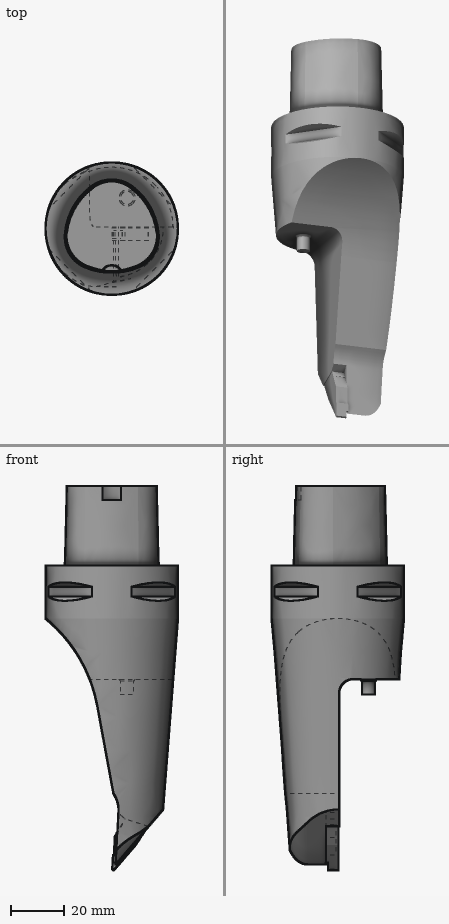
import cadquery as cq
import math

TOTAL_HEIGHT = 145.0
SHANK_HEIGHT = 30.0
COLLAR_HEIGHT = 20.0
COLLAR_TOP = TOTAL_HEIGHT - SHANK_HEIGHT
COLLAR_BOTTOM = COLLAR_TOP - COLLAR_HEIGHT
COLLAR_RADIUS = 50.0 / 2

LOBE_REACH = 18.5
FLANK_REACH = 16.7
LOBE_RADIUS = 12.6
SHANK_TAPER_INSET = 0.7

NOTCH_RADIUS = 4.0
NOTCH_CENTER_Y = -17.8
NOTCH_DEPTH = 5.4

GROOVE_COUNT = 4
GROOVE_FIRST_ANGLE = 45.0
GROOVE_FLOOR_DISTANCE = 22.2
GROOVE_FLOOR_HEIGHT = 3.6
GROOVE_MOUTH_HEIGHT = 7.0
GROOVE_CENTER_Z = 105.1

NECK_SLOPE = 0.078
RELIEF_ARC_BOTTOM = (-5.5, 62.0)
HEEL_TOP = (0.6, 29.0)
HEEL_MIDDLE = (2.2, 25.5)
HEEL_BOTTOM = (2.5, 21.8)
BLADE_LEAN = 0.05

BLADE_FACE_Y = 0.6
STEP_Z = 72.0
STEP_FILLET = 5.2

UNDERSIDE_POINT = (1.5, 2.2)
UNDERSIDE_ANGLE = 49.2
UNDERSIDE_LOW_Y = -19.7
UNDERSIDE_FILLET = 8.3

NOZZLE_DIAMETER = 5.0
NOZZLE_FLANGE_DIAMETER = 6.1
NOZZLE_LENGTH = 5.8
NOZZLE_FLANGE_HEIGHT = 0.7
NOZZLE_X = 5.8
NOZZLE_Y = 11.6

POCKET_FLOOR_Y = -4.5
INSERT_FACE_Y = 0.3
INSERT_TOP = (5.0, 19.5)
INSERT_HEEL = (13.6, 16.7)
INSERT_KNEE = (9.0, 9.5)
INSERT_TIP = (0.7, 0.0)
INSERT_SHOULDER = (1.0, 12.5)
NOSE_HEIGHT = 5.8
NOSE_BOTTOM_X = 0.1
NOSE_TOP_X = 0.5
NOSE_EDGE_Z = 0.5
FLANK_X = 0.9
NOSE_UNDERCUT_Y = -3.8
NOSE_UNDERCUT_TOP = 2.9
RECESS_DEPTH = 0.3
RECESS_TOP = 17.4
RECESS_EDGE_Y = -0.7

MARGIN = 58.0


def lerp_x(start, end, height):
    """X on the straight line from start to end, both (X, Z), at a height."""
    share = (height - start[1]) / (end[1] - start[1])
    return start[0] + share * (end[0] - start[0])


def prism(points, y_low, y_high):
    """Solid with an (X, Z) polygon, filling Y from y_low to y_high."""
    plane = cq.Workplane("XZ", origin=(0, y_high, 0))
    return plane.polyline(points).close().extrude(y_high - y_low)


def polar(radius, degrees):
    angle = math.radians(degrees)
    return cq.Vector(radius * math.cos(angle), radius * math.sin(angle))


def lobed_wire(inset, z):
    """Outline of tangent lobe and flank arcs, moved inwards by inset."""
    lobe_offset = LOBE_REACH - LOBE_RADIUS
    flank_gap = FLANK_REACH - LOBE_RADIUS
    flank_offset = (lobe_offset**2 - flank_gap**2) / (2 * flank_gap - lobe_offset)
    flank_radius = FLANK_REACH + flank_offset
    lift = cq.Vector(0, 0, z)
    edges = []
    for flank in (-90, 30, 150):
        flank_center = polar(flank_offset, flank + 180)
        joints = []
        for lobe in (flank - 60, flank + 60):
            direction = (polar(lobe_offset, lobe) - flank_center).normalized()
            joints.append(flank_center + direction * (flank_radius - inset) + lift)
        middle = polar(FLANK_REACH - inset, flank) + lift
        edges.append(cq.Edge.makeThreePointArc(joints[0], middle, joints[1]))
        crest = polar(LOBE_REACH - inset, flank + 60) + lift
        next_joint = joints[0].sub(lift)
        spin = math.radians(120)
        turned = cq.Vector(
            next_joint.x * math.cos(spin) - next_joint.y * math.sin(spin),
            next_joint.x * math.sin(spin) + next_joint.y * math.cos(spin),
        )
        edges.append(cq.Edge.makeThreePointArc(joints[1], crest, turned + lift))
    return cq.Wire.assembleEdges(edges)


def make_shank():
    base = lobed_wire(0, COLLAR_TOP)
    top = lobed_wire(SHANK_TAPER_INSET, TOTAL_HEIGHT)
    shank = cq.Workplane(obj=cq.Solid.makeLoft([base, top], True))
    notch = (
        cq.Workplane(origin=(0, NOTCH_CENTER_Y, TOTAL_HEIGHT - NOTCH_DEPTH))
        .circle(NOTCH_RADIUS)
        .extrude(NOTCH_DEPTH)
    )
    return shank.cut(notch)


def make_collar():
    collar = cq.Workplane(origin=(0, 0, COLLAR_BOTTOM)).circle(COLLAR_RADIUS).extrude(COLLAR_HEIGHT)
    floor_half = GROOVE_FLOOR_HEIGHT / 2
    mouth_half = GROOVE_MOUTH_HEIGHT / 2
    profile = [
        (GROOVE_FLOOR_DISTANCE, GROOVE_CENTER_Z - floor_half),
        (COLLAR_RADIUS, GROOVE_CENTER_Z - mouth_half),
        (COLLAR_RADIUS, GROOVE_CENTER_Z + mouth_half),
        (GROOVE_FLOOR_DISTANCE, GROOVE_CENTER_Z + floor_half),
    ]
    groove = prism(profile, -COLLAR_RADIUS, COLLAR_RADIUS)
    for index in range(GROOVE_COUNT):
        angle = GROOVE_FIRST_ANGLE + index * 360 / GROOVE_COUNT
        collar = collar.cut(groove.rotate((0, 0, 0), (0, 0, 1), angle))
    return collar


def make_underside_cutter():
    """Everything below the sloping underside and its rounded -Y edge."""
    angle = math.radians(UNDERSIDE_ANGLE)
    plane = cq.Plane(
        origin=(UNDERSIDE_POINT[0], UNDERSIDE_LOW_Y, UNDERSIDE_POINT[1]),
        xDir=(0, 1, 0),
        normal=(math.cos(angle), 0, math.sin(angle)),
    )
    return (
        cq.Workplane(plane)
        .moveTo(-MARGIN, UNDERSIDE_FILLET)
        .lineTo(0, UNDERSIDE_FILLET)
        .radiusArc((UNDERSIDE_FILLET, 0), -UNDERSIDE_FILLET)
        .lineTo(MARGIN, 0)
        .lineTo(MARGIN, -MARGIN)
        .lineTo(-MARGIN, -MARGIN)
        .close()
        .extrude(MARGIN, both=True)
    )


def make_neck():
    end_radius = COLLAR_RADIUS - NECK_SLOPE * COLLAR_BOTTOM
    cone = cq.Workplane(obj=cq.Solid.makeCone(end_radius, COLLAR_RADIUS, COLLAR_BOTTOM))
    blade_foot = (HEEL_BOTTOM[0] - BLADE_LEAN * HEEL_BOTTOM[1], 0)
    outline = (
        cq.Workplane("XZ", origin=(0, MARGIN, 0))
        .moveTo(*blade_foot)
        .lineTo(*HEEL_BOTTOM)
        .threePointArc(HEEL_MIDDLE, HEEL_TOP)
        .lineTo(*RELIEF_ARC_BOTTOM)
        .tangentArcPoint((-COLLAR_RADIUS, COLLAR_BOTTOM), relative=False)
        .lineTo(MARGIN, COLLAR_BOTTOM)
        .lineTo(MARGIN, 0)
        .close()
        .extrude(2 * MARGIN)
    )
    side_cut = (
        cq.Workplane("YZ", origin=(-MARGIN, 0, 0))
        .moveTo(BLADE_FACE_Y, 0)
        .lineTo(BLADE_FACE_Y, STEP_Z - STEP_FILLET)
        .radiusArc((BLADE_FACE_Y + STEP_FILLET, STEP_Z), STEP_FILLET)
        .lineTo(MARGIN, STEP_Z)
        .lineTo(MARGIN, 0)
        .close()
        .extrude(2 * MARGIN)
    )
    return cone.intersect(outline).cut(side_cut)


def make_nozzle():
    flange = (
        cq.Workplane(origin=(NOZZLE_X, NOZZLE_Y, STEP_Z - NOZZLE_FLANGE_HEIGHT))
        .circle(NOZZLE_DIAMETER / 2)
        .workplane(offset=NOZZLE_FLANGE_HEIGHT)
        .circle(NOZZLE_FLANGE_DIAMETER / 2)
        .loft()
    )
    tube = (
        cq.Workplane(origin=(NOZZLE_X, NOZZLE_Y, STEP_Z - NOZZLE_LENGTH))
        .circle(NOZZLE_DIAMETER / 2)
        .extrude(NOZZLE_LENGTH)
    )
    return tube.union(flange)


def make_pocket():
    """Open space for the insert, with a ceiling sloping in from the heel."""
    profile = [
        (-MARGIN, HEEL_BOTTOM[1]),
        HEEL_BOTTOM,
        INSERT_TOP,
        INSERT_HEEL,
        (MARGIN, 0),
        (-MARGIN, 0),
    ]
    return prism(profile, POCKET_FLOOR_Y, BLADE_FACE_Y)


def make_holder():
    neck = make_neck().cut(make_underside_cutter())
    neck = neck.cut(make_pocket())
    return make_shank().union(make_collar()).union(neck).union(make_nozzle())


def make_insert():
    profile = [
        INSERT_TIP,
        INSERT_KNEE,
        INSERT_HEEL,
        INSERT_TOP,
        INSERT_SHOULDER,
        (FLANK_X, NOSE_HEIGHT),
        (NOSE_TOP_X, NOSE_HEIGHT),
        (NOSE_BOTTOM_X, NOSE_EDGE_Z),
    ]
    insert = prism(profile, POCKET_FLOOR_Y, INSERT_FACE_Y)
    undercut_x = lerp_x(INSERT_TIP, INSERT_KNEE, NOSE_UNDERCUT_TOP)
    undercut = prism(
        [(0, 0), (undercut_x, 0), (undercut_x, NOSE_UNDERCUT_TOP), (0, NOSE_UNDERCUT_TOP)],
        POCKET_FLOOR_Y,
        NOSE_UNDERCUT_Y,
    )
    facet_x = lerp_x(INSERT_SHOULDER, INSERT_TOP, RECESS_TOP)
    recess = prism(
        [
            (0, NOSE_HEIGHT),
            (FLANK_X + RECESS_DEPTH, NOSE_HEIGHT),
            (INSERT_SHOULDER[0] + RECESS_DEPTH, INSERT_SHOULDER[1]),
            (facet_x + RECESS_DEPTH, RECESS_TOP),
            (0, RECESS_TOP),
        ],
        POCKET_FLOOR_Y,
        RECESS_EDGE_Y,
    )
    return insert.cut(undercut).cut(recess)


holder = make_holder()
insert = make_insert()
result = cq.Compound.makeCompound([holder.val(), insert.val()])